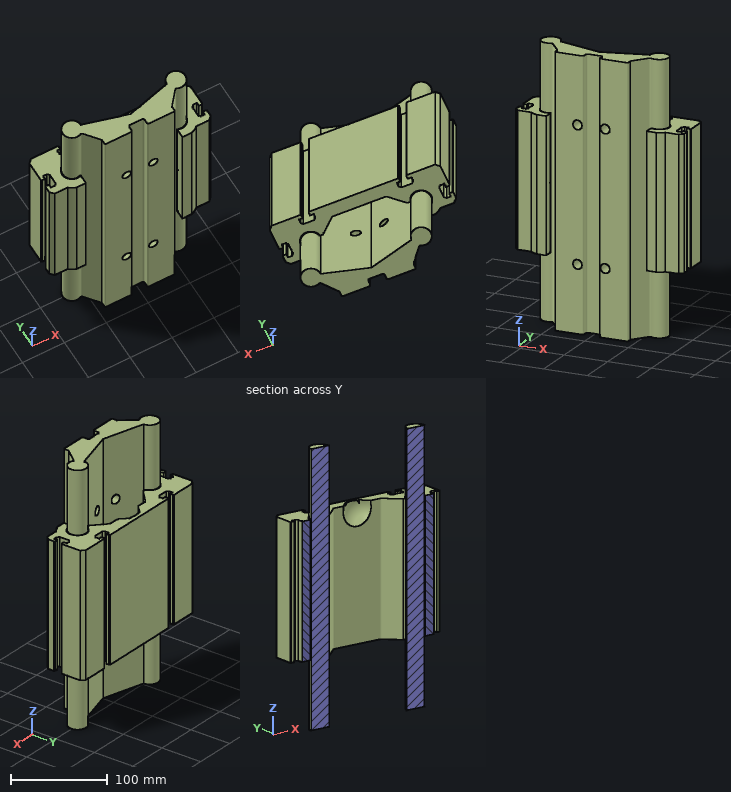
import cadquery as cq
import math

rail_length = 304.8
carriage_length = rail_length / 2
rod_x = 62.2
rod_radius = 11.0
liner_thickness = 0.5
bore_radius = rod_radius + liner_thickness

web_root_y = 0.3
valley_y = -13.7
foot_half_width = 41.8
foot_top_y = -27.0
foot_y = -33.5
foot_fillet = 1.2
flank_angle = -57.0
flank_fillet = 1.8
groove_half_width = 9.0
groove_roof_y = -25.3
groove_fillet = 1.8
rail_hole_x = 16.0
rail_hole_radius = 5.2

carriage_half_width = 96.3
carriage_top_y = 33.2
carriage_bottom_y = -16.8
corner_chamfer = 4.3
bulge_radius = 22.3
bulge_bottom_y = -21.3
jaw_x = 57.5
jaw_tip_y = 2.5
jaw_tip_x = 47.5
channel_roof_y = 18.3
channel_roof_half_width = 30.5
channel_fillet = 2.5

t_slot_x = 55.2
mouth_width = 8.2
mouth_chamfer = 1.0
lip_thickness = 4.5
t_slot_width = 16.5
t_slot_depth = 11.3
t_slot_floor_chamfer = 2.0

pocket_half_width = 17.7
pocket_depth = 8.8
pocket_length = 7.0
dish_radius = 19.8
dish_y = 9.8


def mirrored(left_points):
    """Close a left-hand outline with its mirror image about x = 0."""
    right_points = [(-x, y) for x, y in reversed(left_points) if x != 0]
    return left_points + right_points


def prism(points, length):
    """Prism along Z, centred on z = 0."""
    return cq.Workplane("XY").polyline(points).close().extrude(length / 2, both=True)


def cylinder(x, radius, length):
    """Cylinder along Z on a rod axis, centred on z = 0."""
    return cq.Workplane("XY").center(x, 0).circle(radius).extrude(length / 2, both=True)


def long_edges(body, left_points):
    """Edges along Z that pass through the given points or their mirror images."""
    edges = body.edges("|Z")
    picked = []
    for x, y in left_points:
        for side in (-1, 1):
            nearest = cq.selectors.NearestToPointSelector((side * x, y, 0))
            picked.append(edges.edges(nearest).val())
    return body.newObject(picked)


def make_rail():
    """Full-length rail: a V-backed web carrying a round guide rod along each side."""
    angle = math.radians(flank_angle)
    flank_top = (-rod_x + rod_radius * math.cos(angle), rod_radius * math.sin(angle))
    web_root_x = -rod_x + math.sqrt(rod_radius**2 - web_root_y**2)
    rail = prism(
        mirrored(
            [
                (0, valley_y),
                (web_root_x, web_root_y),
                (-rod_x, 0),
                flank_top,
                (-foot_half_width, foot_top_y),
                (-foot_half_width, foot_y),
                (-groove_half_width, foot_y),
                (-groove_half_width, groove_roof_y),
            ]
        ),
        rail_length,
    )
    for side in (-1, 1):
        rail = rail.union(cylinder(side * rod_x, rod_radius, rail_length))
    rail = long_edges(rail, [flank_top]).fillet(flank_fillet)
    rail = long_edges(rail, [(-foot_half_width, foot_y)]).fillet(foot_fillet)
    groove_corners = [(-groove_half_width, foot_y), (-groove_half_width, groove_roof_y)]
    rail = long_edges(rail, groove_corners).fillet(groove_fillet)

    holes = (
        cq.Workplane("XZ")
        .rect(2 * rail_hole_x, carriage_length, forConstruction=True)
        .vertices()
        .circle(rail_hole_radius)
        .extrude(-foot_y)
    )
    return rail.cut(holes)


def make_t_slot():
    """T-slot cutter with its mouth at y = 0, cutting toward -Y."""
    return prism(
        mirrored(
            [
                (-mouth_width / 2 - mouth_chamfer, 0),
                (-mouth_width / 2, -mouth_chamfer),
                (-mouth_width / 2, -lip_thickness),
                (-t_slot_width / 2, -lip_thickness),
                (-t_slot_width / 2, -t_slot_depth + t_slot_floor_chamfer),
                (-t_slot_width / 2 + t_slot_floor_chamfer, -t_slot_depth),
            ]
        ),
        carriage_length,
    )


def make_pocket():
    """Cutter for the flared pocket with a spherical dish at the +Z end of the carriage."""
    end_z = carriage_length / 2
    top_y = channel_roof_y + pocket_depth
    top_half_width = pocket_half_width - pocket_depth
    flare = (
        cq.Workplane("XY", origin=(0, 0, end_z))
        .polyline(
            mirrored([(-pocket_half_width, channel_roof_y), (-top_half_width, top_y)])
        )
        .close()
        .extrude(-pocket_length)
    )
    dish = cq.Workplane("XY", origin=(0, dish_y, end_z - pocket_length)).sphere(dish_radius)
    return flare.union(dish)


def make_carriage():
    """Channel-shaped carriage whose jaws wrap around both guide rods."""
    bulge_reach = math.sqrt(bulge_radius**2 - carriage_bottom_y**2)
    body = prism(
        mirrored(
            [
                (-carriage_half_width, carriage_top_y),
                (-carriage_half_width, carriage_bottom_y),
                (-jaw_x, carriage_bottom_y),
                (-jaw_x, jaw_tip_y),
                (-jaw_tip_x, jaw_tip_y),
                (-channel_roof_half_width, channel_roof_y),
            ]
        ),
        carriage_length,
    )
    outer_corners = [
        (-carriage_half_width, carriage_top_y),
        (-carriage_half_width, carriage_bottom_y),
    ]
    body = long_edges(body, outer_corners).chamfer(corner_chamfer)
    roof_corners = [(-channel_roof_half_width, channel_roof_y)]
    body = long_edges(body, roof_corners).fillet(channel_fillet)

    for side in (-1, 1):
        window = prism(
            [
                (side * (rod_x + bulge_reach), carriage_bottom_y),
                (side * (rod_x + bulge_reach), bulge_bottom_y),
                (side * jaw_x, bulge_bottom_y),
                (side * jaw_x, carriage_bottom_y),
            ],
            carriage_length,
        )
        bulge = cylinder(side * rod_x, bulge_radius, carriage_length).intersect(window)
        body = body.union(bulge)

    for side in (-1, 1):
        body = body.cut(cylinder(side * rod_x, bore_radius, carriage_length))
        body = body.cut(make_t_slot().translate((side * t_slot_x, carriage_top_y, 0)))
        side_slot = make_t_slot().rotate((0, 0, 0), (0, 0, 1), -side * 90)
        body = body.cut(side_slot.translate((side * carriage_half_width, 0, 0)))
    return body.cut(make_pocket())


def make_liner(side, end):
    """Thin open sleeve between a rod and its bore, over one half of the carriage length."""
    length = carriage_length / 2
    base_z = min(end, 0) * length
    ring = (
        cq.Workplane("XY", origin=(side * rod_x, 0, base_z))
        .circle(bore_radius)
        .circle(rod_radius)
        .extrude(length)
    )
    opening = cq.Workplane("XY", origin=(0, 0, base_z)).polyline(
        [
            (side * jaw_x, jaw_tip_y),
            (side * jaw_tip_x, jaw_tip_y),
            (side * jaw_tip_x, bulge_bottom_y),
            (side * jaw_x, bulge_bottom_y),
        ]
    )
    return ring.cut(opening.close().extrude(length))


rail = make_rail()
carriage = make_carriage()
liners = [make_liner(side, end) for side in (-1, 1) for end in (-1, 1)]

result = cq.Compound.makeCompound(
    [rail.val(), carriage.val(), *[liner.val() for liner in liners]]
)